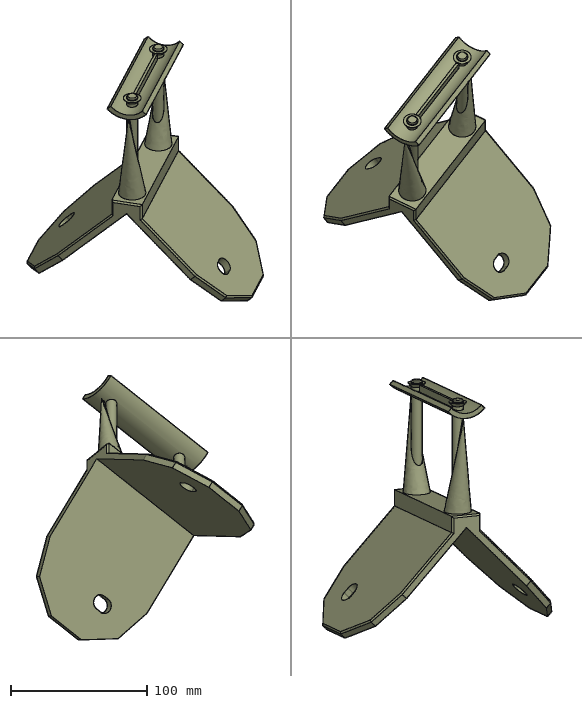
import cadquery as cq
import math

length = 100.0
half_width = 86.0
total_height = 176.1

leaf_thickness = 6.2
block_half_width = 11.6
block_top = 9.3
base_chamfer = 1.2
decagon_step = math.radians(36)

hole_width = 11.3
hole_length = 15.7
hole_from_tip = 31.7
hole_offset_y = 15.0

post_offset_y = 35.0
post_diameter = 8.3
tip_diameter = 6.9
tip_height = 1.2
head_diameter = 13.0
head_depth = 2.0
head_flare_height = 2.8
cone_diameter = 20.0
inner_cone_diameter = 15.5
cone_point_diameter = 0.2
cone_depth = 14.3

tray_inner_radius = 16.2
tray_outer_radius = 20.0
tray_half_angle = math.radians(48)
tray_axis_height = 8.6
rib_width = 2.1
rib_depth = 2.3

half_length = length / 2
tip_x = half_width - (leaf_thickness - base_chamfer) / math.sqrt(2)
slope_length = tip_x * math.sqrt(2)
top_z = total_height - tip_x
tip_shoulder_z = top_z - tip_height
head_rim_z = top_z - head_depth
head_bottom_z = head_rim_z - head_flare_height
cone_top = top_z - cone_depth
rib_top = top_z - rib_depth
tray_axis_z = top_z + tray_axis_height
tray_floor_z = tray_axis_z - tray_inner_radius
tray_bottom_z = tray_axis_z - tray_outer_radius
tolerance = 0.02


def leaf_plane(side):
    """Underside of a leaf: local x runs down the slope, the normal points outward and up."""
    return cq.Plane(origin=(0, 0, 0), xDir=(side, 0, -1), normal=(side, 0, 1))


def make_leaf(side):
    """Sloping plate whose far end is half of a regular decagon as wide as the plate."""
    centre_x = slope_length - half_length * math.cos(decagon_step / 2)
    angles = [k * decagon_step for k in (-2.5, -1.5, -0.5, 0.5, 1.5, 2.5)]
    rounded_end = [(centre_x + half_length * math.cos(a), half_length * math.sin(a)) for a in angles]
    outline = [(0, -half_length), *rounded_end, (0, half_length)]
    return cq.Workplane(leaf_plane(side)).polyline(outline).close().extrude(leaf_thickness)


def make_ridge_block():
    profile = [
        (0, 0),
        (block_half_width, -block_half_width),
        (block_half_width, block_top),
        (-block_half_width, block_top),
        (-block_half_width, -block_half_width),
    ]
    block = cq.Workplane("XZ").polyline(profile).close().extrude(half_length, both=True)
    bend_z = leaf_thickness * math.sqrt(2) - block_half_width
    lower_corners = (
        cq.Workplane("XY", origin=(0, 0, bend_z))
        .rect(2 * half_width, length)
        .extrude(-half_width)
    )
    return block.cut(lower_corners)


def make_leaf_hole(side):
    """Obround cutter: along the slope in the -X leaf, across it in the +X leaf."""
    plane = leaf_plane(side)
    local_y = -side * hole_offset_y * plane.yDir.y
    long_axis_angle = 0 if side < 0 else 90
    return (
        cq.Workplane(plane)
        .center(slope_length - hole_from_tip, local_y)
        .slot2D(hole_length, hole_width, long_axis_angle)
        .extrude(leaf_thickness)
    )


def is_upper_outline(edge):
    """True for the edges around the leaves' upper faces and at both ends of the block."""
    middle = edge.Center()
    x, y, z = abs(middle.x), abs(middle.y), middle.z
    height_above_underside = (x + z) / math.sqrt(2)
    on_leaf_top = abs(height_above_underside - leaf_thickness) < tolerance
    on_block_side = abs(x - block_half_width) < tolerance
    on_block_end = abs(y) > half_length - tolerance
    if on_block_end:
        return on_leaf_top or on_block_side or z > block_top - tolerance
    return on_leaf_top and not on_block_side


def make_base():
    base = make_ridge_block().union(make_leaf(-1)).union(make_leaf(1)).clean()
    outline = [edge for edge in base.edges().vals() if is_upper_outline(edge)]
    base = base.newObject(outline).chamfer(base_chamfer)
    for side in (-1, 1):
        base = base.cut(make_leaf_hole(side))
    return base


def make_post(side):
    """Round post with a flared head just below its tapered tip."""
    profile = [
        (0, block_top),
        (post_diameter / 2, block_top),
        (post_diameter / 2, head_bottom_z),
        (head_diameter / 2, head_rim_z),
        (post_diameter / 2, head_rim_z),
        (post_diameter / 2, tip_shoulder_z),
        (tip_diameter / 2, top_z),
        (0, top_z),
    ]
    post = cq.Workplane("XZ").polyline(profile).close().revolve(360, (0, 0), (0, 1))
    return post.translate((0, side * post_offset_y, 0))


def make_oblique_cone(diameter, side):
    """Cone concentric with the post at its base, its point straight above its outer rim."""
    point_offset = (diameter - cone_point_diameter) / 2
    return (
        cq.Workplane("XY", origin=(0, side * post_offset_y, block_top))
        .circle(diameter / 2)
        .workplane(offset=cone_top - block_top)
        .center(0, side * point_offset)
        .circle(cone_point_diameter / 2)
        .loft(ruled=True)
    )


def make_cone(side):
    """Two nested cones in one, bored for the post."""
    outer = make_oblique_cone(cone_diameter, side)
    inner = make_oblique_cone(inner_cone_diameter, side)
    return outer.union(inner).cut(make_post(side))


def tray_point(radius, angle):
    """Point of the tray's profile, with the angle measured from straight down."""
    return radius * math.sin(angle), tray_axis_z - radius * math.cos(angle)


def make_tray():
    tray = (
        cq.Workplane("XZ")
        .moveTo(*tray_point(tray_inner_radius, -tray_half_angle))
        .threePointArc((0, tray_floor_z), tray_point(tray_inner_radius, tray_half_angle))
        .lineTo(*tray_point(tray_outer_radius, tray_half_angle))
        .threePointArc((0, tray_bottom_z), tray_point(tray_outer_radius, -tray_half_angle))
        .close()
        .extrude(half_length, both=True)
    )
    rib_bottom = (tray_floor_z + tray_bottom_z) / 2
    rib_length = 2 * post_offset_y - head_diameter
    rib = (
        cq.Workplane("XY", origin=(0, 0, rib_bottom))
        .rect(rib_width, rib_length)
        .extrude(rib_top - rib_bottom)
    )
    post_holes = (
        cq.Workplane("XY", origin=(0, 0, tray_bottom_z))
        .pushPoints([(0, -post_offset_y), (0, post_offset_y)])
        .circle(post_diameter / 2)
        .extrude(top_z - tray_bottom_z)
    )
    return tray.union(rib).cut(post_holes)


base = make_base()
tray = make_tray()
cones = [make_cone(side).solids().val() for side in (-1, 1)]
posts = [make_post(side).solids().val() for side in (-1, 1)]

result = cq.Compound.makeCompound([base.solids().val(), tray.solids().val(), *cones, *posts])